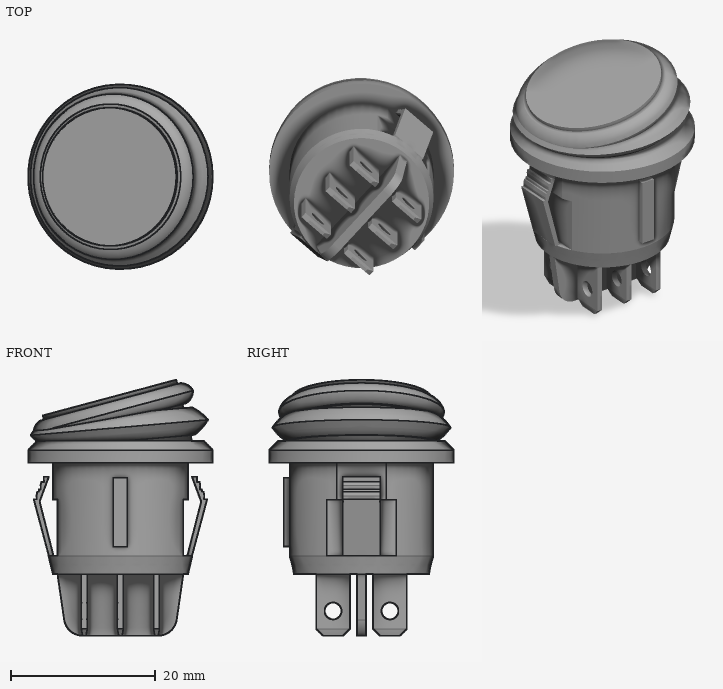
import cadquery as cq


flange_radius = 12.75
flange_rim_height = 1.75
flange_height = 3.05
flange_top_radius = 11.48

barrel_radius = 9.92
barrel_bottom = -12.78
taper_bottom = -15.32
taper_bottom_radius = 9.32

upper_flat_x = 9.32
lower_flat_x = 8.7
flat_step_z = -5.05

rib_width = 1.95
rib_reach = 10.75
rib_top = -2.0
rib_bottom = -11.55

clip_width = 5.15
clip_top = -1.9
clip_elbow_z = -4.98
clip_elbow_x = 11.97
clip_root_inner_x = 9.2
clip_root_outer_x = 9.9

terminal_end = -23.85
blade_thickness = 0.8
blade_width = 4.7
blade_tip_thickness = 0.45
blade_tip_width = 2.75
blade_tip_height = 0.95
blade_pitch_x = 4.98
blade_row_y = 3.92
blade_hole_diameter = 2.3
blade_hole_rise = 3.43

fin_thickness = 1.3
fin_top_half_width = 8.7
fin_bottom_half_width = 7.45
fin_corner_radius = 2.6

lower_ring_center = (-0.16, 0, 4.87)
lower_ring_tilt = 5
lower_ring_radius = 12.3
lower_ring_rim_radius = 10.28
lower_ring_half_height = 1.9
lower_ring_bulge = 0.09
lower_neck_radius = 9.78
lower_neck_depth = 2.82

upper_ring_center = (-1.0, 0, 7.03)
upper_ring_tilt = 15
upper_ring_radius = 11.4
upper_ring_rim_radius = 10.03
upper_ring_half_height = 1.45
upper_ring_bulge = 0.18
upper_neck_radius = 9.5
upper_neck_depth = 2.3

cap_radius = 9.55
cap_height = 2.05


def make_flange():
    return (
        cq.Workplane("XZ")
        .polyline([
            (0, 0),
            (flange_radius, 0),
            (flange_radius, flange_rim_height),
            (flange_top_radius, flange_height),
            (0, flange_height),
        ])
        .close()
        .revolve(360, (0, 0), (0, 1))
    )


def flat_slab(half_width, bottom, top):
    """Block that trims the barrel to flats at X = -half_width and +half_width."""
    size_y = 2 * barrel_radius
    return cq.Workplane("XY", origin=(0, 0, bottom)).rect(2 * half_width, size_y).extrude(top - bottom)


def make_barrel():
    barrel = cq.Workplane("XY").circle(barrel_radius).extrude(barrel_bottom)
    flats = flat_slab(upper_flat_x, flat_step_z, 0).union(flat_slab(lower_flat_x, barrel_bottom, flat_step_z))
    taper = (
        cq.Workplane("XY", origin=(0, 0, barrel_bottom))
        .circle(barrel_radius)
        .workplane(offset=taper_bottom - barrel_bottom)
        .circle(taper_bottom_radius)
        .loft()
    )
    return barrel.intersect(flats).union(taper)


def make_rib():
    return (
        cq.Workplane("XY", origin=(0, -rib_reach / 2, rib_bottom))
        .rect(rib_width, rib_reach)
        .extrude(rib_top - rib_bottom)
    )


def make_clip():
    """Bent spring arm on the +X side with grip teeth on its upper leg."""
    outline = [
        (clip_root_inner_x, barrel_bottom),
        (clip_root_outer_x, barrel_bottom),
        (clip_elbow_x, clip_elbow_z),
        (11.55, clip_elbow_z),
        (11.58, -4.52),
        (11.48, -3.95),
        (11.25, -3.95),
        (11.23, -3.65),
        (10.98, -3.65),
        (11.0, -3.07),
        (10.9, -2.6),
        (10.55, -2.6),
        (10.6, clip_top),
        (9.85, clip_top),
        (11.12, -5.33),
    ]
    return cq.Workplane("XZ").polyline(outline).close().extrude(clip_width / 2, both=True)


def make_blade():
    """One terminal blade, centred on X = Y = 0, with a tapered tip and a cross hole."""
    tip_top = terminal_end + blade_tip_height
    shank = (
        cq.Workplane("XY", origin=(0, 0, tip_top))
        .rect(blade_thickness, blade_width)
        .extrude(taper_bottom - tip_top)
    )
    tip = (
        cq.Workplane("XY", origin=(0, 0, terminal_end))
        .rect(blade_tip_thickness, blade_tip_width)
        .workplane(offset=blade_tip_height)
        .rect(blade_thickness, blade_width)
        .loft()
    )
    hole = (
        cq.Workplane("YZ", origin=(0, 0, terminal_end + blade_hole_rise))
        .circle(blade_hole_diameter / 2)
        .extrude(blade_thickness, both=True)
    )
    return shank.union(tip).cut(hole)


def make_fin():
    return (
        cq.Workplane("XZ")
        .polyline([
            (-fin_top_half_width, taper_bottom),
            (fin_top_half_width, taper_bottom),
            (fin_bottom_half_width, terminal_end),
            (-fin_bottom_half_width, terminal_end),
        ])
        .close()
        .extrude(fin_thickness / 2, both=True)
        .edges("|Y and <Z")
        .fillet(fin_corner_radius)
    )


def make_ring(radius, rim_radius, half_height, bulge, neck_radius, neck_depth):
    """Ring with a sharp equator at Z = 0, bowed flanks and a neck below it."""
    middle_radius = (radius + rim_radius) / 2 + bulge
    middle_height = half_height / 2 + bulge
    return (
        cq.Workplane("XZ")
        .moveTo(0, -neck_depth)
        .lineTo(neck_radius, -neck_depth)
        .lineTo(neck_radius, -half_height)
        .lineTo(rim_radius, -half_height)
        .threePointArc((middle_radius, -middle_height), (radius, 0))
        .threePointArc((middle_radius, middle_height), (rim_radius, half_height))
        .lineTo(0, half_height)
        .close()
        .revolve(360, (0, 0), (0, 1))
    )


def tilt(body, angle, center):
    """Raise the +X side by the given angle, then move the ring centre into place."""
    return body.rotate((0, 0, 0), (0, 1, 0), -angle).translate(center)


def make_boot():
    lower = make_ring(
        lower_ring_radius,
        lower_ring_rim_radius,
        lower_ring_half_height,
        lower_ring_bulge,
        lower_neck_radius,
        lower_neck_depth,
    )
    upper = make_ring(
        upper_ring_radius,
        upper_ring_rim_radius,
        upper_ring_half_height,
        upper_ring_bulge,
        upper_neck_radius,
        upper_neck_depth,
    )
    cap = cq.Workplane("XY").circle(cap_radius).extrude(cap_height)
    lower = tilt(lower, lower_ring_tilt, lower_ring_center)
    return lower.union(tilt(upper.union(cap), upper_ring_tilt, upper_ring_center))


result = make_flange().union(make_barrel()).union(make_boot()).union(make_rib()).union(make_fin())

clip = make_clip()
result = result.union(clip).union(clip.mirror("YZ"))

blade = make_blade()
for x in (-blade_pitch_x, 0, blade_pitch_x):
    for y in (-blade_row_y, blade_row_y):
        result = result.union(blade.translate((x, y, 0)))